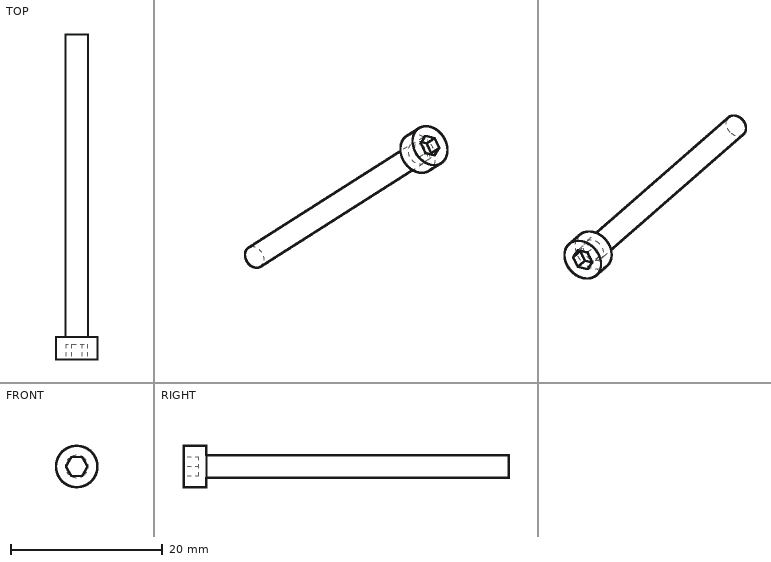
import cadquery as cq
import math

total_length = 43.0
head_diameter = 5.5
head_height = 3.0
shank_diameter = 3.0
socket_across_flats = 2.5
socket_depth = 1.98

shank_length = total_length - head_height
socket_across_corners = socket_across_flats / math.cos(math.pi / 6)


def along_y(start):
    """Sketch plane at Y = start whose extrusions run toward +Y, with local x along X."""
    return cq.Workplane(cq.Plane(origin=(0, start, 0), xDir=(1, 0, 0), normal=(0, 1, 0)))


head = along_y(0).circle(head_diameter / 2).extrude(head_height)
shank = along_y(head_height).circle(shank_diameter / 2).extrude(shank_length)

socket = along_y(0).polygon(6, socket_across_corners).extrude(socket_depth)

result = head.union(shank).cut(socket)